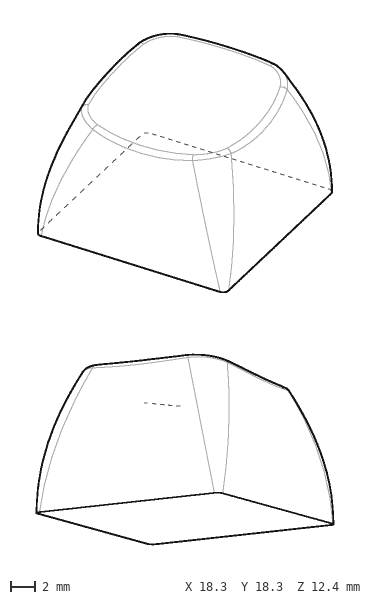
import cadquery as cq

base_width = 18.2
base_corner = 0.5
mid_width = 17.15
mid_corner = 1.8
top_width = 14.4
top_bow = 1.75
top_corner = 5.0
height = 13.12
tilt = 7.0
rim_fillet = 0.5

dish_depth = 2.5
dish_end_depth = 1.4
dish_chord_margin = 2.0
dish_mid_drop = 0.4


def rounded_square(width, corner):
    return cq.Sketch().rect(width, width).vertices().fillet(corner)


def bowed_square():
    """Square outline with four outward-bowed sides and rounded corners."""
    side = top_width / 2
    corner = side - top_bow
    return (
        cq.Sketch()
        .arc((-corner, -corner), (-side, 0), (-corner, corner))
        .arc((-corner, corner), (0, side), (corner, corner))
        .arc((corner, corner), (side, 0), (corner, -corner))
        .arc((corner, -corner), (0, -side), (-corner, -corner))
        .assemble()
        .vertices()
        .fillet(top_corner)
    )


def raised(section, level, angle):
    """Lift a section to a level and tilt it about X."""
    return section.moved(cq.Location(cq.Vector(0, 0, level), cq.Vector(1, 0, 0), angle))


def body():
    """Loft whose sides curve inward, with the tilt growing with the square of the height."""
    return (
        cq.Workplane("XY")
        .placeSketch(
            rounded_square(base_width, base_corner),
            raised(rounded_square(mid_width, mid_corner), height / 2, tilt / 4),
            raised(bowed_square(), height, tilt),
        )
        .loft()
    )


def dish_section(plane, half_chord, end_drop, depth):
    """Circular arc closed off well above the body."""
    half = base_width / 2
    return (
        plane.moveTo(-half_chord, -end_drop)
        .threePointArc((0, -depth), (half_chord, -end_drop))
        .lineTo(half, height)
        .lineTo(-half, height)
        .close()
    )


def dish():
    """Lofted cutter: a short shallow arc at both X ends, a long deep one in the middle."""
    half = base_width / 2
    end_arc = {"half_chord": half - dish_chord_margin, "end_drop": 0, "depth": dish_end_depth}
    middle_arc = {"half_chord": half + dish_chord_margin, "end_drop": dish_mid_drop, "depth": dish_depth}
    tool = cq.Workplane("YZ").transformed(offset=(0, height, -half), rotate=(0, 0, tilt))
    tool = dish_section(tool, **end_arc)
    tool = dish_section(tool.workplane(offset=half), **middle_arc)
    tool = dish_section(tool.workplane(offset=half), **end_arc)
    return tool.loft(combine=False)


result = body().cut(dish()).edges(">Z").fillet(rim_fillet)